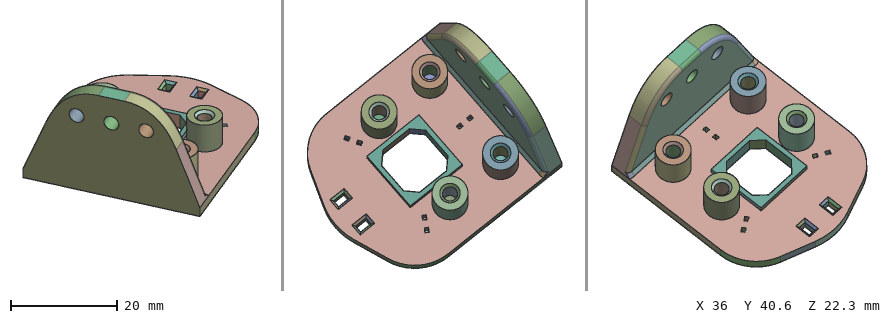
import cadquery as cq
import math

width = 36.0
length = 40.6
plate_thickness = 2.0
half_width = width / 2
corner_radius = 10.0
corner_y = 27.9
nose_radius = 13.0

wall_height = 22.3
wall_thickness = 4.02
wall_flat = 2.65
flank_top_x = 13.2
flank_top_z = 13.93
crown_pull = 5.2
flank_pull = 5.28
rim_radius = 0.85
base_chamfer = 0.75
wall_hole_diameter = 3.0
wall_hole_pitch = 7.05
wall_hole_z = 16.7

center_y = 21.25
pad_size = 12.8
pad_top = 3.0
opening_size = 10.85
opening_corner = 2.15

boss_x = 10.45
boss_row_spacing = 12.43
boss_rows = (center_y, center_y - boss_row_spacing)
boss_diameter = 6.8
boss_top = 8.05
bore_diameter = 2.8
bore_mouth_diameter = 3.85
bore_chamfer = (bore_mouth_diameter - bore_diameter) / 2

window_x = 3.25
window_y = 36.55
window_width = 1.5
window_length = 2.5
window_chamfer = 0.5

pin_width = 0.77
pin_length = 0.95
pin_radii = (11.1, 13.6)
pin_angles = (30, 150, 270)


def make_plate():
    corner_x = half_width - corner_radius
    nose_y = length - nose_radius
    center_distance = math.hypot(corner_x, corner_y - nose_y)
    center_angle = math.atan2(corner_x, corner_y - nose_y)
    tilt = center_angle - math.acos((nose_radius - corner_radius) / center_distance)

    def on_corner(angle):
        return (corner_x + corner_radius * math.sin(angle), corner_y + corner_radius * math.cos(angle))

    def mirrored(point):
        return (-point[0], point[1])

    corner_end = on_corner(tilt)
    corner_middle = on_corner((tilt + math.pi / 2) / 2)
    nose_end = (nose_radius * math.sin(tilt), nose_y + nose_radius * math.cos(tilt))
    return (
        cq.Workplane("XY")
        .moveTo(-half_width, 0)
        .lineTo(half_width, 0)
        .lineTo(half_width, corner_y)
        .threePointArc(corner_middle, corner_end)
        .lineTo(*nose_end)
        .threePointArc((0, length), mirrored(nose_end))
        .lineTo(*mirrored(corner_end))
        .threePointArc(mirrored(corner_middle), (-half_width, corner_y))
        .close()
        .extrude(plate_thickness)
    )


def make_wall():
    rise = flank_top_z - plate_thickness
    run = half_width - flank_top_x
    flank_length = math.hypot(rise, run)
    handle_x = flank_top_x - flank_pull * run / flank_length
    handle_z = flank_top_z + flank_pull * rise / flank_length
    shoulder = [
        (flank_top_x, flank_top_z),
        (handle_x, handle_z),
        (wall_flat + crown_pull, wall_height),
        (wall_flat, wall_height),
    ]
    wall = (
        cq.Workplane("XZ")
        .moveTo(-half_width, plate_thickness)
        .lineTo(half_width, plate_thickness)
        .lineTo(*shoulder[0])
        .bezier(shoulder[1:], includeCurrent=True)
        .lineTo(-wall_flat, wall_height)
        .bezier([(-x, z) for x, z in reversed(shoulder[:-1])], includeCurrent=True)
        .close()
        .extrude(-wall_thickness)
    )
    return wall.faces(">Y").edges("not <Z").fillet(rim_radius)


def chamfer_wall_base(body):
    margin = 0.05
    wall_base = cq.selectors.BoxSelector(
        (-width, wall_thickness - rim_radius, plate_thickness - margin),
        (width, wall_thickness + margin, plate_thickness + margin),
    )
    return body.edges(wall_base).chamfer(base_chamfer)


def make_wall_holes():
    return (
        cq.Workplane("XZ")
        .pushPoints([(i * wall_hole_pitch, wall_hole_z) for i in (-1, 0, 1)])
        .circle(wall_hole_diameter / 2)
        .extrude(-wall_thickness)
    )


def make_pad():
    return cq.Workplane("XY").center(0, center_y).rect(pad_size, pad_size).extrude(pad_top)


def make_opening():
    opening = cq.Workplane("XY").center(0, center_y).rect(opening_size, opening_size).extrude(pad_top)
    return opening.edges("|Z").chamfer(opening_corner)


def make_boss(x, y):
    boss = (
        cq.Workplane("XY", origin=(x, y, plate_thickness))
        .circle(boss_diameter / 2)
        .extrude(boss_top - plate_thickness)
    )
    bored = boss.faces(">Z").workplane().hole(bore_diameter)
    return bored.faces(">Z").edges("%CIRCLE").edges(cq.selectors.RadiusNthSelector(0)).chamfer(bore_chamfer)


def make_window(x):
    straight = cq.Workplane("XY").center(x, window_y).rect(window_width, window_length).extrude(plate_thickness)
    mouth = (
        cq.Workplane("XY", origin=(x, window_y, plate_thickness))
        .rect(window_width + 2 * window_chamfer, window_length + 2 * window_chamfer)
        .extrude(-window_chamfer, taper=45)
    )
    return straight.union(mouth)


def make_pin_hole(radius, angle):
    return (
        cq.Workplane("XY")
        .center(radius, 0)
        .rect(pin_length, pin_width)
        .extrude(plate_thickness)
        .rotate((0, 0, 0), (0, 0, 1), angle)
        .translate((0, center_y, 0))
    )


result = chamfer_wall_base(make_plate().union(make_wall()))
result = result.cut(make_wall_holes())
result = result.union(make_pad()).cut(make_opening())

for x in (-boss_x, boss_x):
    for y in boss_rows:
        result = result.union(make_boss(x, y))

for x in (-window_x, window_x):
    result = result.cut(make_window(x))

for angle in pin_angles:
    for radius in pin_radii:
        result = result.cut(make_pin_hole(radius, angle))